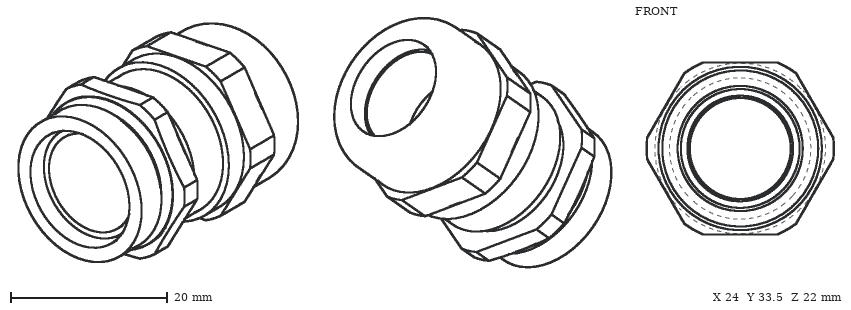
import cadquery as cq
import math

LENGTH = 33.5
ENTRY_Y = -LENGTH / 2
DOME_Y = LENGTH / 2

HEX_FLATS = 22.0
HEX_CORNER_RADIUS = 12.0

CAP_RADIUS = 10.92
CAP_LENGTH = 16.48
DOME_FILLET = 3.0
CAP_OPENING_RADIUS = 6.77
CAP_HEX_WIDTH = 5.02
CAP_HEX_START_Y = DOME_Y - 13.33
CAP_START_Y = DOME_Y - CAP_LENGTH
LIP_Y = DOME_Y - DOME_FILLET

THREAD_RADIUS = 9.98
THREAD_END_Y = ENTRY_Y + 4.15
RING_SEAT_Y = ENTRY_Y + 6.3
CHAMFER_CORNER_Y = ENTRY_Y + 6.35
BODY_HEX_END_Y = ENTRY_Y + 9.1
NECK_RADIUS = 9.05
NECK_END_Y = ENTRY_Y + 11.05
HEX_CHAMFER_ANGLE = 15.0
ENTRY_BORE_RADIUS = 8.0
ENTRY_BORE_END_Y = ENTRY_Y + 4.02
INSERT_BORE_RADIUS = 7.6

RING_SECTION_RADIUS = 0.7
RING_OUTER_RADIUS = NECK_RADIUS + 2 * RING_SECTION_RADIUS

CAGE_BORE_RADIUS = 6.77
CAGE_START_Y = ENTRY_Y + 2.28
SEAL_BORE_RADIUS = 6.45
SEAL_START_Y = 5.02


def cylinder(radius, start_y, end_y):
    """Solid cylinder on the Y axis."""
    plane = cq.Workplane("XZ", origin=(0, start_y, 0))
    return plane.circle(radius).extrude(start_y - end_y)


def sleeve(outer_radius, inner_radius, start_y, end_y):
    """Plain tube on the Y axis."""
    return cylinder(outer_radius, start_y, end_y).cut(cylinder(inner_radius, start_y, end_y))


def turned_hexagon(start_y, end_y):
    """Hexagon with flats facing +Z and -Z and its corners turned round."""
    across_corners = HEX_FLATS / math.cos(math.pi / 6)
    plane = cq.Workplane("XZ", origin=(0, start_y, 0))
    hexagon = plane.polygon(6, across_corners).extrude(start_y - end_y)
    return hexagon.intersect(cylinder(HEX_CORNER_RADIUS, start_y, end_y))


def make_cap():
    shell = cylinder(CAP_RADIUS, CAP_START_Y, DOME_Y).faces(">Y").edges().fillet(DOME_FILLET)
    cap = shell.union(turned_hexagon(CAP_HEX_START_Y, CAP_HEX_START_Y + CAP_HEX_WIDTH))
    cap = cap.cut(cylinder(THREAD_RADIUS, CAP_START_Y, LIP_Y))
    return cap.cut(cylinder(CAP_OPENING_RADIUS, LIP_Y, DOME_Y))


def make_body_hexagon():
    """Hexagon with a shallow cone on its entry side, recessed to seat the O-ring."""
    chamfer_width = HEX_CORNER_RADIUS - RING_OUTER_RADIUS
    chamfer_depth = chamfer_width * math.tan(math.radians(HEX_CHAMFER_ANGLE))
    cone_start_y = CHAMFER_CORNER_Y - chamfer_depth
    envelope = (
        cq.Workplane("XY")
        .moveTo(0, RING_SEAT_Y)
        .lineTo(RING_OUTER_RADIUS, RING_SEAT_Y)
        .lineTo(RING_OUTER_RADIUS, cone_start_y)
        .lineTo(HEX_CORNER_RADIUS, CHAMFER_CORNER_Y)
        .lineTo(HEX_CORNER_RADIUS, BODY_HEX_END_Y)
        .lineTo(0, BODY_HEX_END_Y)
        .close()
        .revolve(360, (0, 0, 0), (0, 1, 0))
    )
    return turned_hexagon(cone_start_y, BODY_HEX_END_Y).intersect(envelope)


def make_body():
    groove_start_y = THREAD_END_Y + THREAD_RADIUS - NECK_RADIUS
    turned = (
        cq.Workplane("XY")
        .moveTo(0, ENTRY_Y)
        .lineTo(THREAD_RADIUS, ENTRY_Y)
        .lineTo(THREAD_RADIUS, THREAD_END_Y)
        .lineTo(NECK_RADIUS, groove_start_y)
        .lineTo(NECK_RADIUS, NECK_END_Y)
        .lineTo(THREAD_RADIUS, NECK_END_Y)
        .lineTo(THREAD_RADIUS, LIP_Y)
        .lineTo(0, LIP_Y)
        .close()
        .revolve(360, (0, 0, 0), (0, 1, 0))
    )
    body = turned.union(make_body_hexagon())
    body = body.cut(cylinder(INSERT_BORE_RADIUS, ENTRY_Y, LIP_Y))
    return body.cut(cylinder(ENTRY_BORE_RADIUS, ENTRY_Y, ENTRY_BORE_END_Y))


def make_o_ring():
    ring_radius = NECK_RADIUS + RING_SECTION_RADIUS
    ring_y = RING_SEAT_Y - RING_SECTION_RADIUS
    section = cq.Workplane("XY").center(ring_radius, ring_y).circle(RING_SECTION_RADIUS)
    return section.revolve(360, (-ring_radius, 0, 0), (-ring_radius, 1, 0))


cap = make_cap()
body = make_body()
o_ring = make_o_ring()
clamping_cage = sleeve(INSERT_BORE_RADIUS, CAGE_BORE_RADIUS, CAGE_START_Y, SEAL_START_Y)
seal = sleeve(INSERT_BORE_RADIUS, SEAL_BORE_RADIUS, SEAL_START_Y, LIP_Y)

result = cq.Compound.makeCompound(
    [cap.val(), body.val(), o_ring.val(), clamping_cage.val(), seal.val()]
)